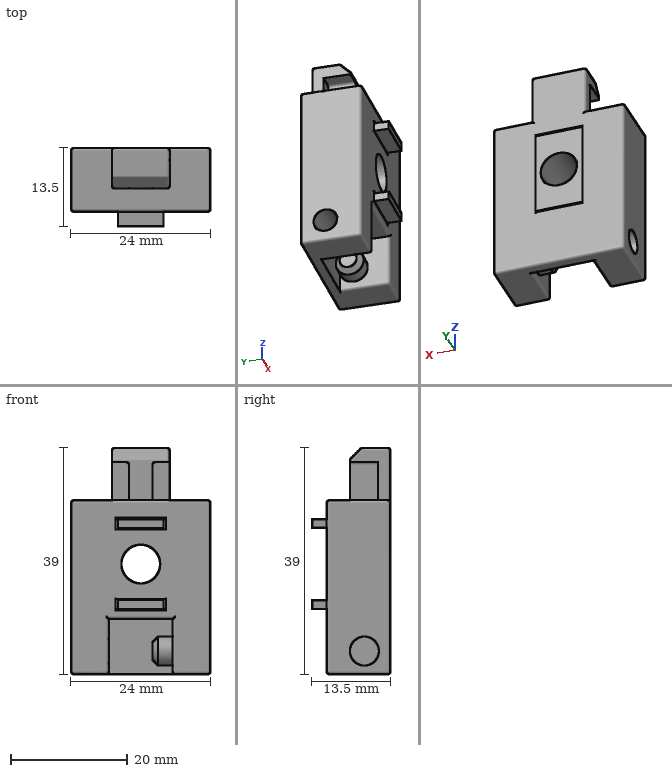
import cadquery as cq


body_width = 24.0
body_depth = 11.0
body_height = 30.0
edge_radius = 0.5

total_height = 39.0
latch_width = 10.0
latch_depth = 7.0
latch_chamfer = 2.0
latch_head_height = 2.45
latch_back_thickness = 2.1
stem_width = 4.0
latch_front = body_depth - latch_depth

notch_width = 11.0
notch_height = 9.5
notch_depth = 9.0

bore_diameter = 6.63
bore_height = 19.0

slot_width = 8.6
slot_height = 2.0
slot_offset = 7.0
prong_width = 7.88
prong_height = 1.52
prong_projection = 2.5
front_wall = 2.5
pocket_height = 2 * slot_offset + slot_height
clip_height = 2 * slot_offset + prong_height
clip_depth = body_depth - front_wall

screw_diameter = 5.0
screw_length = 10.0
screw_tip_chamfer = 0.98
access_diameter = 4.2
screw_height = 4.0
screw_back_distance = 4.5
screw_y = body_depth - screw_back_distance


def block(width, depth, height, y_front, z_bottom, x_center=0):
    """Box centred on x_center that starts at y_front and z_bottom."""
    box = cq.Workplane("XY").box(width, depth, height, centered=(True, False, False))
    return box.translate((x_center, y_front, z_bottom))


def cylinder_x(diameter, length, x_start):
    """Cylinder on the screw axis, running toward +X from x_start."""
    plane = cq.Workplane("YZ", origin=(x_start, screw_y, screw_height))
    return plane.circle(diameter / 2).extrude(length)


def bore_cutter():
    """Cylinder along Y that passes through the full depth of the housing."""
    plane = cq.Workplane("XZ", origin=(0, 0, bore_height))
    return plane.circle(bore_diameter / 2).extrude(-body_depth)


def make_latch():
    """Hooked latch: rounded head with a sloping nose, carried by a T-shaped stem."""
    foot = body_height - edge_radius
    outline = [
        (body_depth, foot),
        (body_depth, total_height),
        (latch_front + latch_chamfer, total_height),
        (latch_front, total_height - latch_chamfer),
        (latch_front, foot),
    ]
    latch = cq.Workplane("YZ").polyline(outline).close().extrude(latch_width / 2, both=True)
    latch = latch.edges("not <Z").fillet(edge_radius)

    recess_width = (latch_width - stem_width) / 2
    recess_depth = latch_depth - latch_back_thickness
    recess_height = total_height - latch_head_height - foot
    for side in (-1, 1):
        recess_center = side * (stem_width + recess_width) / 2
        recess = block(recess_width, recess_depth, recess_height, latch_front, foot, recess_center)
        inner_edge = ">X" if side < 0 else "<X"
        recess = recess.faces(inner_edge).edges(">Z").fillet(edge_radius)
        latch = latch.cut(recess)
    return latch


def make_housing():
    housing = block(body_width, body_depth, body_height, 0, 0).edges().fillet(edge_radius)

    housing = housing.cut(block(notch_width, notch_depth, notch_height, 0, 0))
    rim_box = cq.selectors.BoxSelector(
        (-notch_width / 2 - edge_radius / 2, -edge_radius / 2, 0),
        (notch_width / 2 + edge_radius / 2, edge_radius / 2, notch_height + edge_radius / 2),
    )
    housing = housing.faces("<Y").edges(rim_box).fillet(edge_radius)

    housing = housing.union(make_latch())

    housing = housing.cut(
        block(slot_width, clip_depth, pocket_height, front_wall, bore_height - pocket_height / 2)
    )
    for side in (-1, 1):
        slot_bottom = bore_height + side * slot_offset - slot_height / 2
        housing = housing.cut(block(slot_width, front_wall, slot_height, 0, slot_bottom))
    housing = housing.cut(bore_cutter())

    leg_width = (body_width - notch_width) / 2
    housing = housing.cut(cylinder_x(screw_diameter, leg_width, notch_width / 2))
    housing = housing.cut(cylinder_x(access_diameter, leg_width, -body_width / 2))
    return housing


def make_clip():
    """Pocket-wide block with two prongs, level with its upper and lower faces."""
    clip = block(slot_width, clip_depth, clip_height, front_wall, bore_height - clip_height / 2)
    prong_length = prong_projection + front_wall
    for side in (-1, 1):
        prong_bottom = bore_height + side * slot_offset - prong_height / 2
        clip = clip.union(block(prong_width, prong_length, prong_height, -prong_projection, prong_bottom))
    return clip.cut(bore_cutter())


def make_set_screw():
    """Set screw flush with the +X side, its chamfered tip reaching into the notch."""
    screw = cylinder_x(screw_diameter, screw_length, body_width / 2 - screw_length)
    return screw.faces("<X").chamfer(screw_tip_chamfer)


housing = make_housing()
clip = make_clip()
set_screw = make_set_screw()

bodies = [housing, clip, set_screw]
result = cq.Compound.makeCompound([body.solids().val() for body in bodies])